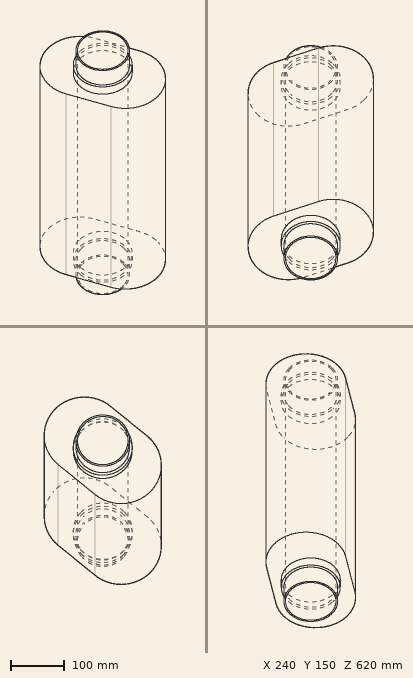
import cadquery as cq

BODY_WIDTH = 240.0
BODY_DEPTH = 150.0
BODY_LENGTH = 500.0

COLLAR_DIAMETER = 110.0
COLLAR_LENGTH = 20.0
PIPE_DIAMETER = 100.0
PIPE_LENGTH = 40.0
PIPE_WALL = 3.0

BORE_DIAMETER = PIPE_DIAMETER - 2 * PIPE_WALL
COLLAR_END = BODY_LENGTH / 2 + COLLAR_LENGTH
PIPE_END = COLLAR_END + PIPE_LENGTH


def centred_cylinder(diameter, half_length):
    """Cylinder along Z, reaching the same distance above and below the origin."""
    return cq.Workplane("XY").circle(diameter / 2).extrude(half_length, both=True)


def oval_body():
    """Body with flat front and back faces and half-round sides."""
    return cq.Workplane("XY").slot2D(BODY_WIDTH, BODY_DEPTH).extrude(BODY_LENGTH / 2, both=True)


body = oval_body()
collars = centred_cylinder(COLLAR_DIAMETER, COLLAR_END)
pipes = centred_cylinder(PIPE_DIAMETER, PIPE_END)
bore = centred_cylinder(BORE_DIAMETER, PIPE_END)

result = body.union(collars).union(pipes).cut(bore)